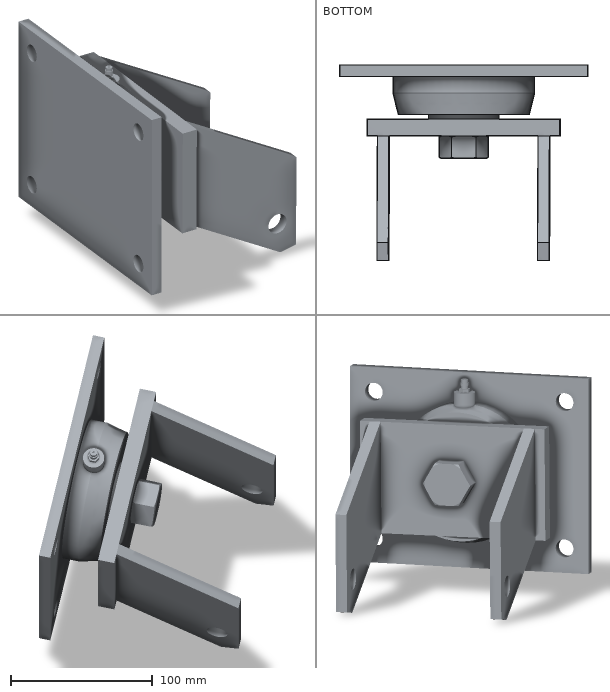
import cadquery as cq
import math


base_width = 175.0
base_height = 140.0
base_thickness = 8.2
mount_hole_diameter = 13.0
mount_hole_inset = 17.5

housing_diameter = 100.0
housing_end_diameter = 92.4
housing_taper_y = 20.0
housing_end_y = 35.0

boss_diameter = 15.0
boss_root_z = 35.0
boss_top_z = 58.3
boss_seam_angle = 45.0

neck_diameter = 50.0
bracket_front_y = 38.3
bracket_back_y = 50.0
bracket_width = 135.5
bracket_height = 80.0
bracket_turn = 0.45

ear_thickness = 8.0
ear_gap = 105.2
ear_end_y = 138.0
ear_slope = 30.0
ear_tip_y = 125.1
ear_corner_z = -80.7
ear_hole_diameter = 15.0
ear_hole_y = 122.5
ear_hole_z = -59.7

nut_across_corners = 34.6
nut_height = 16.0
nut_chamfer_radial = 1.5
nut_chamfer_height = 0.9

nipple_hex_across_corners = 8.0
nipple_hex_height = 2.5
nipple_stem_diameter = 4.9
nipple_collar_diameter = 6.0
nipple_collar_bottom = 4.7
nipple_collar_top = 6.6
nipple_height = 9.1
nipple_bore_diameter = 1.5
nipple_bore_depth = 1.8


def cylinder_y(diameter, start_y, end_y):
    """Cylinder on the swivel axis between two depths."""
    plane = cq.Workplane("XZ", origin=(0, start_y, 0))
    return plane.circle(diameter / 2).extrude(start_y - end_y)


def make_base():
    """Base plate with its tapered housing and grease boss."""
    plate = (
        cq.Workplane("XZ")
        .rect(base_width, base_height)
        .extrude(-base_thickness)
    )
    mount_holes = (
        cq.Workplane("XZ")
        .rect(base_width - 2 * mount_hole_inset, base_height - 2 * mount_hole_inset, forConstruction=True)
        .vertices()
        .circle(mount_hole_diameter / 2)
        .extrude(-base_thickness)
    )
    housing = (
        cq.Workplane("XY")
        .moveTo(0, base_thickness)
        .lineTo(housing_diameter / 2, base_thickness)
        .lineTo(housing_diameter / 2, housing_taper_y)
        .lineTo(housing_end_diameter / 2, housing_end_y)
        .lineTo(0, housing_end_y)
        .close()
        .revolve(360, (0, 0, 0), (0, 1, 0))
    )
    boss = (
        cq.Workplane("XY", origin=(0, housing_taper_y, boss_root_z))
        .circle(boss_diameter / 2)
        .extrude(boss_top_z - boss_root_z)
        .rotate((0, housing_taper_y, 0), (0, housing_taper_y, 1), boss_seam_angle)
    )
    return plate.cut(mount_holes).union(housing).union(boss)


def make_ear(inner_x):
    """Sloping side ear with its pin hole, extending toward +X from inner_x."""
    slope = math.tan(math.radians(ear_slope))
    top_z = bracket_height / 2
    end_top_z = top_z - (ear_end_y - bracket_back_y) * slope
    tip_z = -top_z - (ear_tip_y - bracket_back_y) * slope
    plane = cq.Workplane("YZ", origin=(inner_x, 0, 0))
    ear = (
        plane.moveTo(bracket_back_y, top_z)
        .lineTo(ear_end_y, end_top_z)
        .lineTo(ear_end_y, ear_corner_z)
        .lineTo(ear_tip_y, tip_z)
        .lineTo(bracket_back_y, -top_z)
        .close()
        .extrude(ear_thickness)
    )
    pin_hole = (
        plane.center(ear_hole_y, ear_hole_z)
        .circle(ear_hole_diameter / 2)
        .extrude(ear_thickness)
    )
    return ear.cut(pin_hole)


def make_bracket():
    """Bracket plate with its neck and two ears, turned slightly on the swivel."""
    bracket = (
        cq.Workplane("XZ", origin=(0, bracket_front_y, 0))
        .rect(bracket_width, bracket_height)
        .extrude(bracket_front_y - bracket_back_y)
    )
    bracket = bracket.union(cylinder_y(neck_diameter, housing_end_y, bracket_front_y))
    for inner_x in (-ear_gap / 2 - ear_thickness, ear_gap / 2):
        bracket = bracket.union(make_ear(inner_x))
    return bracket.rotate((0, 0, 0), (0, 1, 0), bracket_turn)


def make_nut():
    """Hexagon nut against the bracket plate, corners bevelled at both ends."""
    end_y = bracket_back_y + nut_height
    prism = (
        cq.Workplane("XZ", origin=(0, bracket_back_y, 0))
        .polygon(6, nut_across_corners)
        .extrude(-nut_height)
    )
    bevel = (
        cylinder_y(nut_across_corners, bracket_back_y, end_y)
        .edges()
        .chamfer(nut_chamfer_height, nut_chamfer_radial)
    )
    return prism.intersect(bevel)


def make_nipple():
    """Grease nipple: hexagon, stem, collar and a small bore in the tip."""
    plane = cq.Workplane("XY", origin=(0, housing_taper_y, boss_top_z))
    hexagon = (
        plane.polygon(6, nipple_hex_across_corners)
        .extrude(nipple_hex_height)
        .rotate((0, housing_taper_y, 0), (0, housing_taper_y, 1), 90)
    )
    stem = plane.circle(nipple_stem_diameter / 2).extrude(nipple_height)
    collar = (
        plane.workplane(offset=nipple_collar_bottom)
        .circle(nipple_collar_diameter / 2)
        .extrude(nipple_collar_top - nipple_collar_bottom)
    )
    bore = (
        plane.workplane(offset=nipple_height - nipple_bore_depth)
        .circle(nipple_bore_diameter / 2)
        .extrude(nipple_bore_depth)
    )
    return hexagon.union(stem).union(collar).cut(bore)


base = make_base()
bracket = make_bracket()
nut = make_nut()
nipple = make_nipple()

result = cq.Compound.makeCompound([base.val(), bracket.val(), nut.val(), nipple.val()])